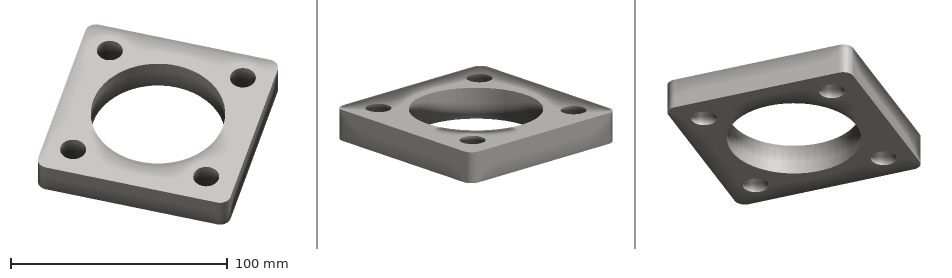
import cadquery as cq
import math

side = 92.0
thickness = 15.0
corner_radius = 5.0

bore_diameter = 62.0

bolt_hole_diameter = 12.0
bolt_circle_diameter = 90.0
bolt_spacing = bolt_circle_diameter / math.sqrt(2)


def make_plate():
    """Square plate with rounded vertical edges, standing on Z = 0."""
    plate = cq.Workplane("XY").rect(side, side).extrude(thickness)
    return plate.edges("|Z").fillet(corner_radius)


def cut_bore(body):
    """Through bore at the plate centre."""
    return body.faces(">Z").workplane().hole(bore_diameter)


def cut_bolt_holes(body):
    """Through holes at the corners of a square centred on the bore."""
    hole_centres = body.faces(">Z").workplane().rect(bolt_spacing, bolt_spacing, forConstruction=True)
    return hole_centres.vertices().hole(bolt_hole_diameter)


result = cut_bolt_holes(cut_bore(make_plate()))